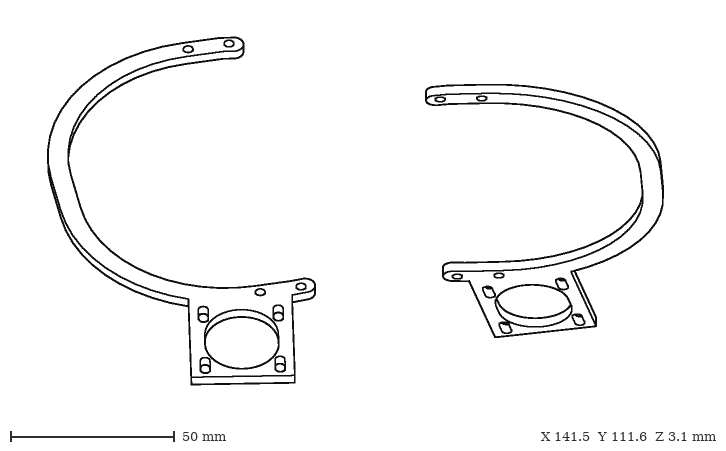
import cadquery as cq
import math

thickness = 3.1

band_width = 6.2
inner_radius = 45.0
outer_radius = inner_radius + band_width
mid_radius = inner_radius + band_width / 2
half_straight = 7.5
tip_distance = 15.3
tip_shifts = ((-1, 0.5), (1, 0.3))
arm_length = 11.5
band_tilt = -30
band_centre = (57.8, 67.8)

hole_diameter = 3.0
hole_distances = (1.3, 14.0)

mount_centre = (118.6, 23.0)
mount_tilt = -40
mount_half_width = 15.9
mount_front = 16.7
mount_back = 20.5
adjustment = 4.0
opening_diameter = 22.5
slot_width = 3.0
slot_spacing = 23.0


def placed(solid, tilt, centre):
    """Turn a solid about Z and move it to its place in the plate."""
    return solid.rotate((0, 0, 0), (0, 0, 1), tilt).translate((centre[0], centre[1], 0))


def band_outline(radius):
    """Closed U shape, symmetric about its local Y axis and open toward +Y."""
    side = half_straight + radius
    diagonal = radius * math.sqrt(0.5)
    return (
        cq.Workplane("XY")
        .moveTo(-side, arm_length)
        .lineTo(-side, 0)
        .threePointArc((-half_straight - diagonal, -diagonal), (-half_straight, -radius))
        .lineTo(half_straight, -radius)
        .threePointArc((half_straight + diagonal, -diagonal), (side, 0))
        .lineTo(side, arm_length)
        .close()
        .extrude(thickness)
    )


def band():
    body = band_outline(outer_radius).cut(band_outline(inner_radius))
    arm_x = half_straight + mid_radius
    half_width = band_width / 2
    for side, shift in tip_shifts:
        tip_x = side * (arm_x - shift)
        end = (
            cq.Workplane("XY")
            .center(tip_x, tip_distance)
            .circle(half_width)
            .extrude(thickness)
        )
        neck = (
            cq.Workplane("XY")
            .moveTo(side * arm_x - half_width, arm_length)
            .lineTo(side * arm_x + half_width, arm_length)
            .lineTo(tip_x + half_width, tip_distance)
            .lineTo(tip_x - half_width, tip_distance)
            .close()
            .extrude(thickness)
        )
        body = body.union(neck).union(end)
    return body


def arm_holes():
    hole_x = half_straight + mid_radius
    points = [(side * hole_x, distance) for side in (-1, 1) for distance in hole_distances]
    return cq.Workplane("XY").pushPoints(points).circle(hole_diameter / 2).extrude(thickness)


def mount():
    return (
        cq.Workplane("XY")
        .center((mount_front - mount_back) / 2, 0)
        .rect(mount_front + mount_back, 2 * mount_half_width)
        .extrude(thickness)
    )


def mount_openings():
    opening = cq.Workplane("XY").slot2D(opening_diameter + adjustment, opening_diameter).extrude(thickness)
    slots = (
        cq.Workplane("XY")
        .rect(slot_spacing, slot_spacing, forConstruction=True)
        .vertices()
        .slot2D(slot_width + adjustment, slot_width)
        .extrude(thickness)
    )
    return opening.union(slots)


result = (
    placed(band(), band_tilt, band_centre)
    .union(placed(mount(), mount_tilt, mount_centre))
    .cut(placed(arm_holes(), band_tilt, band_centre))
    .cut(placed(mount_openings(), mount_tilt, mount_centre))
)